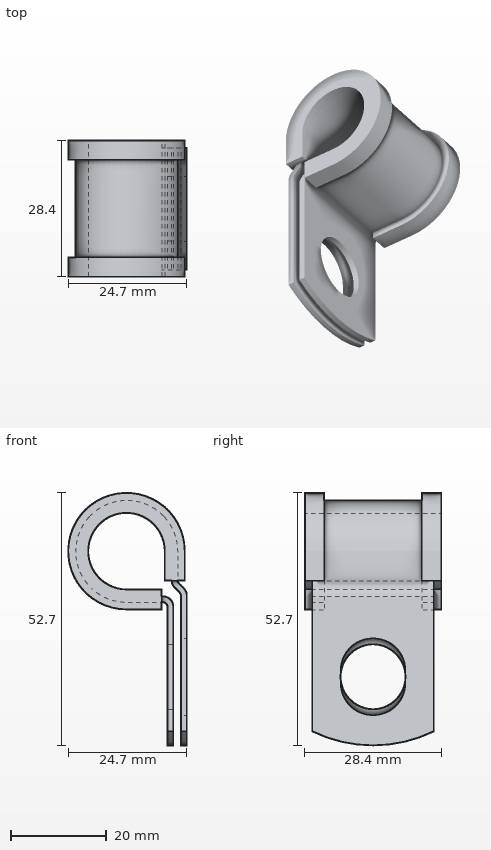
import cadquery as cq
import math

bore_radius = 7.95
flange_radius = 12.15
cushion_width = 28.45
flange_width = 4.05
upper_leg_end_z = -6.15
lower_leg_end_x = 7.3

strap_outer_radius = 10.65
strap_thickness = 1.25
strap_width = 25.4
strap_mid_radius = strap_outer_radius - strap_thickness / 2
bend_inner_radius = 1.0
bend_radius = bend_inner_radius + strap_thickness / 2
joggle_angle = math.radians(45)
joggle_start_z = -6.0
inner_tab_x = 9.15
outer_tab_x = 11.95

overall_height = 52.65
tab_bottom_z = flange_radius - overall_height
tab_corner_rise = 2.95
bolt_hole_diameter = 13.5
outer_slot_extension = 1.25
bolt_hole_z = -26.2
outer_slot_length = bolt_hole_diameter + 2 * outer_slot_extension


def cushion_loop(outer_radius, width, center_y):
    """Three-quarter loop with one leg pointing down and one pointing right."""
    diagonal = math.sqrt(0.5)
    return (
        cq.Workplane("XZ", origin=(0, center_y, 0))
        .moveTo(outer_radius, upper_leg_end_z)
        .lineTo(outer_radius, 0)
        .threePointArc((-outer_radius * diagonal, outer_radius * diagonal), (0, -outer_radius))
        .lineTo(lower_leg_end_x, -outer_radius)
        .lineTo(lower_leg_end_x, -bore_radius)
        .lineTo(0, -bore_radius)
        .threePointArc((-bore_radius * diagonal, bore_radius * diagonal), (bore_radius, 0))
        .lineTo(bore_radius, upper_leg_end_z)
        .close()
        .extrude(width / 2, both=True)
    )


def strap_path():
    """Mid-thickness line of the strap, running slightly past the bottom of both tabs."""
    bend_diagonal = bend_radius * math.sqrt(0.5)
    loop_diagonal = strap_mid_radius * math.sqrt(0.5)
    bend_center_x = inner_tab_x - bend_radius
    bend_center_z = -strap_mid_radius - bend_radius

    bend_shift = bend_radius * (1 - math.cos(joggle_angle))
    bend_drop = bend_radius * math.sin(joggle_angle)
    half_shift = bend_radius * (1 - math.cos(joggle_angle / 2))
    half_drop = bend_radius * math.sin(joggle_angle / 2)
    slope_shift = outer_tab_x - strap_mid_radius - 2 * bend_shift
    slope_drop = slope_shift / math.tan(joggle_angle)
    joggle_end_z = joggle_start_z - 2 * bend_drop - slope_drop

    path_end_z = tab_bottom_z - strap_thickness
    return (
        cq.Workplane("XZ")
        .moveTo(inner_tab_x, path_end_z)
        .lineTo(inner_tab_x, bend_center_z)
        .threePointArc(
            (bend_center_x + bend_diagonal, bend_center_z + bend_diagonal),
            (bend_center_x, -strap_mid_radius),
        )
        .lineTo(0, -strap_mid_radius)
        .threePointArc((-loop_diagonal, loop_diagonal), (strap_mid_radius, 0))
        .lineTo(strap_mid_radius, joggle_start_z)
        .threePointArc(
            (strap_mid_radius + half_shift, joggle_start_z - half_drop),
            (strap_mid_radius + bend_shift, joggle_start_z - bend_drop),
        )
        .lineTo(outer_tab_x - bend_shift, joggle_end_z + bend_drop)
        .threePointArc(
            (outer_tab_x - half_shift, joggle_end_z + half_drop),
            (outer_tab_x, joggle_end_z),
        )
        .lineTo(outer_tab_x, path_end_z)
    )


def strap_silhouette():
    """Outline across the strap width: straight sides and a bowed bottom."""
    half_width = strap_width / 2
    corner_z = tab_bottom_z + tab_corner_rise
    return (
        cq.Workplane("YZ")
        .moveTo(-half_width, flange_radius)
        .lineTo(-half_width, corner_z)
        .threePointArc((0, tab_bottom_z), (half_width, corner_z))
        .lineTo(half_width, flange_radius)
        .close()
        .extrude(2 * flange_radius, both=True)
    )


def inner_tab_hole():
    return (
        cq.Workplane("YZ", origin=(inner_tab_x, 0, bolt_hole_z))
        .circle(bolt_hole_diameter / 2)
        .extrude(strap_thickness, both=True)
    )


def outer_tab_slot():
    return (
        cq.Workplane("YZ", origin=(outer_tab_x, 0, bolt_hole_z))
        .slot2D(outer_slot_length, bolt_hole_diameter, 90)
        .extrude(strap_thickness, both=True)
    )


def strap():
    band = strap_path().wire().offset2D(strap_thickness / 2).extrude(strap_width, both=True)
    return band.intersect(strap_silhouette()).cut(inner_tab_hole()).cut(outer_tab_slot())


liner = cushion_loop(strap_outer_radius, cushion_width, 0)
result = liner.union(strap())
for side in (-1, 1):
    flange_y = side * (cushion_width - flange_width) / 2
    result = result.union(cushion_loop(flange_radius, flange_width, flange_y))